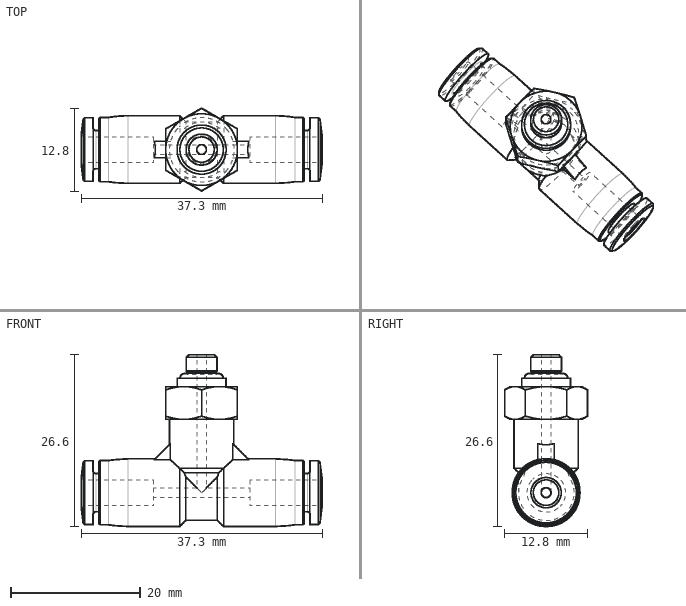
import cadquery as cq
import math

half_length = 18.65
run_radius = 10.5 / 2
waist_radius = 4.3
waist_half_length = 2.42
shoulder_half_length = waist_half_length + run_radius - waist_radius
crown_start = 11.4
crown_end = 14.45
sleeve_radius = 5.0
sleeve_end = 15.9
sleeve_chamfer = 0.2

collar_radius = 9.9 / 2
collar_inner_face = 16.8
collar_neck_radius = 5.95 / 2
collar_fillet = 0.4
collar_rim_chamfer = 0.25
collar_dish_height = 0.3
tube_bore_radius = 3.95 / 2
tube_bore_end = 7.45
mouth_chamfer = 0.37
passage_radius = 1.5 / 2

branch_radius = 10.0 / 2
branch_bottom = 3.8
branch_chamfer = branch_radius - waist_radius
hex_bottom = 11.35
hex_top = 16.4
hex_corner_diameter = 12.83
hex_chamfer_angle = 30.0
flange_radius = 7.6 / 2
flange_top = 17.7
stem_radius = 4.8 / 2
stem_top = 21.37
stem_chamfer = 0.45
groove_radius = 2.15
groove_top = 18.87
ring_outer_radius = 3.35
ring_section_radius = 0.75

gusset_width = 2.57
gusset_reach = 12.42


def make_run_half():
    """Half of the run on the +X side, solid, revolved about X."""
    crown_length = crown_end - crown_start
    crown_drop = run_radius - sleeve_radius
    crown_radius = (crown_length**2 + crown_drop**2) / (2 * crown_drop)
    crown_mid = crown_start + crown_length / 2
    crown_mid_radius = run_radius - crown_radius + math.sqrt(crown_radius**2 - (crown_length / 2) ** 2)
    fillet_offset = collar_fillet * (1 - math.sqrt(0.5))
    rim_start = half_length - collar_dish_height
    profile = (
        cq.Workplane("XY")
        .lineTo(0, waist_radius)
        .lineTo(waist_half_length, waist_radius)
        .lineTo(shoulder_half_length, run_radius)
        .lineTo(crown_start, run_radius)
        .threePointArc((crown_mid, crown_mid_radius), (crown_end, sleeve_radius))
        .lineTo(sleeve_end - sleeve_chamfer, sleeve_radius)
        .lineTo(sleeve_end, sleeve_radius - sleeve_chamfer)
        .lineTo(sleeve_end, collar_neck_radius)
        .lineTo(collar_inner_face - collar_fillet, collar_neck_radius)
        .threePointArc(
            (collar_inner_face - fillet_offset, collar_neck_radius + fillet_offset),
            (collar_inner_face, collar_neck_radius + collar_fillet),
        )
        .lineTo(collar_inner_face, collar_radius)
        .lineTo(rim_start - collar_rim_chamfer, collar_radius)
        .lineTo(rim_start, collar_radius - collar_rim_chamfer)
        .lineTo(half_length, tube_bore_radius + mouth_chamfer)
        .lineTo(half_length, 0)
        .close()
    )
    return profile.revolve(360, (0, 0, 0), (1, 0, 0))


def make_tube_bore():
    """Tube socket with chamfered mouth at the +X end."""
    profile = (
        cq.Workplane("XY")
        .moveTo(tube_bore_end, 0)
        .lineTo(tube_bore_end, tube_bore_radius)
        .lineTo(half_length - mouth_chamfer, tube_bore_radius)
        .lineTo(half_length, tube_bore_radius + mouth_chamfer)
        .lineTo(half_length, 0)
        .close()
    )
    return profile.revolve(360, (0, 0, 0), (1, 0, 0))


def make_branch():
    """Round parts of the branch: column, flange and stem, revolved about Z."""
    profile = (
        cq.Workplane("XZ")
        .lineTo(waist_radius, 0)
        .lineTo(waist_radius, branch_bottom - branch_chamfer)
        .lineTo(branch_radius, branch_bottom)
        .lineTo(branch_radius, hex_bottom)
        .lineTo(flange_radius, hex_bottom)
        .lineTo(flange_radius, flange_top)
        .lineTo(groove_radius, flange_top)
        .lineTo(groove_radius, groove_top - (stem_radius - groove_radius))
        .lineTo(stem_radius, groove_top)
        .lineTo(stem_radius, stem_top - stem_chamfer)
        .lineTo(stem_radius - stem_chamfer, stem_top)
        .lineTo(0, stem_top)
        .close()
    )
    return profile.revolve(360, (0, 0, 0), (0, 1, 0))


def make_seal_ring():
    """O-ring around the stem groove, half sunk into the flange."""
    center_radius = ring_outer_radius - ring_section_radius
    section = cq.Workplane("XZ").center(center_radius, flange_top).circle(ring_section_radius)
    return section.revolve(360, (-center_radius, 0, 0), (-center_radius, 1, 0))


def make_hex():
    """Hexagon with corners on the Y axis and conical chamfers at both ends."""
    height = hex_top - hex_bottom
    corner_radius = hex_corner_diameter / 2
    flat_radius = corner_radius * math.cos(math.pi / 6)
    chamfer_drop = (corner_radius - flat_radius) * math.tan(math.radians(hex_chamfer_angle))
    prism = (
        cq.Workplane("XY", origin=(0, 0, hex_bottom))
        .polygon(6, hex_corner_diameter)
        .extrude(height)
        .rotate((0, 0, 0), (0, 0, 1), 90)
    )
    envelope = (
        cq.Workplane("XZ")
        .moveTo(0, hex_bottom)
        .lineTo(flat_radius, hex_bottom)
        .lineTo(corner_radius, hex_bottom + chamfer_drop)
        .lineTo(corner_radius, hex_top - chamfer_drop)
        .lineTo(flat_radius, hex_top)
        .lineTo(0, hex_top)
        .close()
        .revolve(360, (0, 0, 0), (0, 1, 0))
    )
    return prism.intersect(envelope)


def make_gussets():
    """Triangular web spanning both sides of the branch."""
    base_height = waist_radius
    base_half = gusset_reach - base_height
    top_half = waist_radius
    top_height = gusset_reach - top_half
    return (
        cq.Workplane("XZ")
        .moveTo(-base_half, base_height)
        .lineTo(base_half, base_height)
        .lineTo(top_half, top_height)
        .lineTo(-top_half, top_height)
        .close()
        .extrude(gusset_width / 2, both=True)
    )


body = make_branch().union(make_hex()).union(make_seal_ring()).union(make_gussets())
run_half = make_run_half()
body = body.union(run_half).union(run_half.mirror("YZ"))

run_passage = cq.Workplane("YZ").circle(passage_radius).extrude(half_length, both=True)
stem_passage = cq.Workplane("XY").circle(passage_radius).extrude(stem_top)
tube_bore = make_tube_bore()
result = body.cut(run_passage).cut(stem_passage).cut(tube_bore).cut(tube_bore.mirror("YZ"))